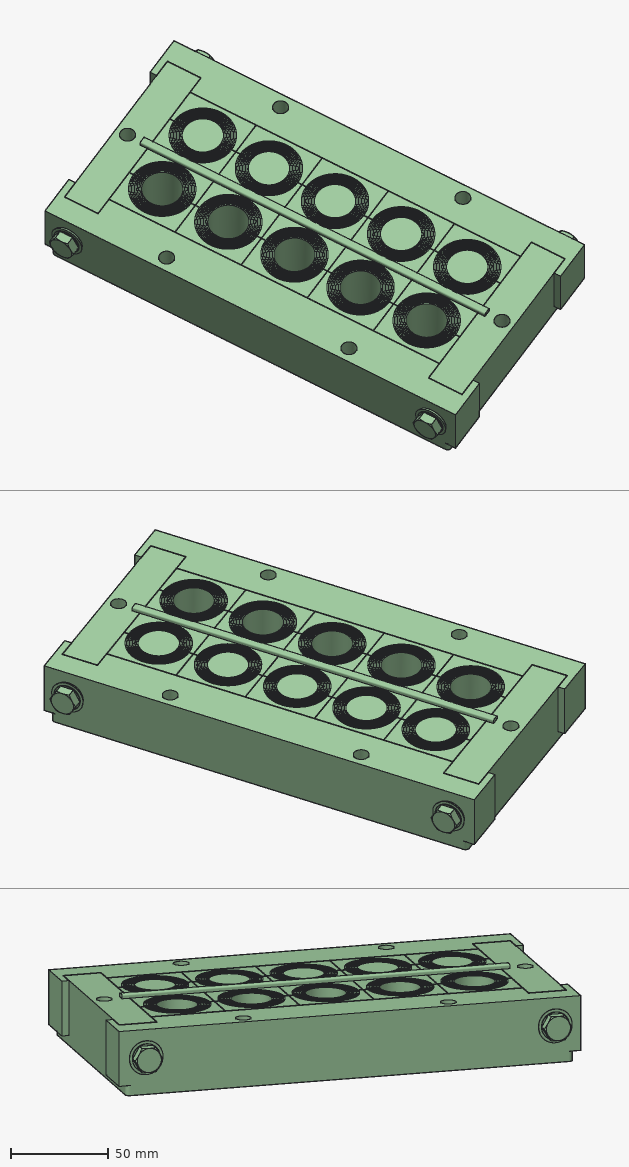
import cadquery as cq
import math

LENGTH = 248.0
WIDTH = 127.0
BLOCK_HEIGHT = 29.3
LIP_HEIGHT = 5.5
NOTCH_DEPTH = 4.0
LIP_CORNER_RADIUS = 2.2
TOP = LIP_HEIGHT + BLOCK_HEIGHT
INNER_LENGTH = LENGTH - 2 * NOTCH_DEPTH

MODULE_SIZE = 40.0
COLUMNS = 5
ROWS = 2
MODULES_LENGTH = COLUMNS * MODULE_SIZE
MODULES_WIDTH = ROWS * MODULE_SIZE
NOTCH_WIDTH = MODULES_WIDTH
BORE_RADIUS = 10.7
LAYER_THICKNESS = 0.7
RING_COUNT = 5
RING_DEPTH = 0.2

END_BAR_WIDTH = 101.2
JOINT_WIDTH = 0.12
JOINT_DEPTH = 0.2

STRIP_LENGTH = 208.3
STRIP_WIDTH = 4.5
STRIP_HEIGHT = 2.2
STRIP_ROUNDING = 1.0

HOLE_DIAMETER = 8.2
SIDE_HOLE_X = 55.0
SIDE_HOLE_Y = 56.0
END_HOLE_X = 113.0

BOLT_X = 109.9
BOLT_Z = LIP_HEIGHT + BLOCK_HEIGHT / 2
FLANGE_DIAMETER = 18.0
FLANGE_BASE_DIAMETER = 16.9
FLANGE_HEIGHT = 1.5
COLLAR_HEIGHT = 0.5
HEX_ACROSS_FLATS = 13.0
BOLT_HEAD_HEIGHT = 7.2
HEX_BEVEL_ANGLE = 30.0


def make_frame():
    lip = cq.Workplane("XY").box(INNER_LENGTH, WIDTH, LIP_HEIGHT, centered=(True, True, False))
    lip = lip.edges("|Z").fillet(LIP_CORNER_RADIUS)
    block = cq.Workplane("XY").workplane(offset=LIP_HEIGHT)
    block = block.box(LENGTH, WIDTH, BLOCK_HEIGHT, centered=(True, True, False))
    notches = (
        cq.Workplane("XY").workplane(offset=LIP_HEIGHT)
        .pushPoints([(-LENGTH / 2, 0), (LENGTH / 2, 0)])
        .rect(2 * NOTCH_DEPTH, NOTCH_WIDTH)
        .extrude(BLOCK_HEIGHT)
    )
    return lip.union(block.cut(notches))


def module_centers(row):
    y = (row - (ROWS - 1) / 2) * MODULE_SIZE
    return [((column - (COLUMNS - 1) / 2) * MODULE_SIZE, y) for column in range(COLUMNS)]


def joint(start, end):
    """Shallow straight groove in the top face, parallel to X or Y."""
    (x0, y0), (x1, y1) = start, end
    return (
        cq.Workplane("XY", origin=((x0 + x1) / 2, (y0 + y1) / 2, TOP - JOINT_DEPTH))
        .rect(abs(x1 - x0) + JOINT_WIDTH, abs(y1 - y0) + JOINT_WIDTH)
        .extrude(JOINT_DEPTH)
    )


def make_joints():
    half_length = MODULES_LENGTH / 2
    half_width = MODULES_WIDTH / 2
    half_inner = INNER_LENGTH / 2
    half_bar = END_BAR_WIDTH / 2
    lines = []
    for y in (-half_width, half_width):
        lines.append(((-half_length, y), (half_length, y)))
    for row in range(ROWS):
        for x, y in module_centers(row):
            for side in (-1, 1):
                lines.append(((x + side * BORE_RADIUS, y), (x + side * MODULE_SIZE / 2, y)))
    for column in range(1, COLUMNS):
        x = column * MODULE_SIZE - half_length
        lines.append(((x, -half_width), (x, half_width)))
    for side in (-1, 1):
        lines.append(((side * half_length, -half_bar), (side * half_length, half_bar)))
        for y in (-half_bar, half_bar):
            lines.append(((side * half_length, y), (side * half_inner, y)))
        for end in (-1, 1):
            lines.append(((side * half_inner, end * half_width), (side * half_inner, end * half_bar)))
    joints = joint(*lines[0])
    for line in lines[1:]:
        joints = joints.union(joint(*line))
    return joints


def make_ring_grooves():
    """Concentric grooves marking the peelable layers of every module."""
    centers = [center for row in range(ROWS) for center in module_centers(row)]
    grooves = cq.Workplane("XY")
    for ring in range(RING_COUNT):
        inner_radius = BORE_RADIUS + 2 * ring * LAYER_THICKNESS
        ring_groove = (
            cq.Workplane("XY").workplane(offset=TOP - RING_DEPTH)
            .pushPoints(centers)
            .circle(inner_radius + LAYER_THICKNESS)
            .circle(inner_radius)
            .extrude(RING_DEPTH)
        )
        grooves = grooves.add(ring_groove)
    return grooves.combine()


def make_bores():
    return cq.Workplane("XY").pushPoints(module_centers(0)).circle(BORE_RADIUS).extrude(TOP)


def make_mounting_holes():
    points = [(-END_HOLE_X, 0), (END_HOLE_X, 0)]
    points += [(x, y) for x in (-SIDE_HOLE_X, SIDE_HOLE_X) for y in (-SIDE_HOLE_Y, SIDE_HOLE_Y)]
    return cq.Workplane("XY").pushPoints(points).circle(HOLE_DIAMETER / 2).extrude(TOP)


def make_strip():
    strip = cq.Workplane("XY").workplane(offset=TOP)
    strip = strip.box(STRIP_LENGTH, STRIP_WIDTH, STRIP_HEIGHT, centered=(True, True, False))
    return strip.edges("|X and >Z").fillet(STRIP_ROUNDING)


def revolved_profile(points):
    """Solid of revolution about Z from (radius, height) points."""
    return cq.Workplane("XZ").polyline(points).close().revolve(360, (0, 0, 0), (0, 1, 0))


def make_bolt():
    """Bolt head on the XY plane, pointing up, with two hexagon corners on the X axis."""
    corner_radius = HEX_ACROSS_FLATS / math.sqrt(3)
    flange = revolved_profile([
        (0, 0),
        (FLANGE_BASE_DIAMETER / 2, 0),
        (FLANGE_DIAMETER / 2, FLANGE_HEIGHT),
        (corner_radius, FLANGE_HEIGHT),
        (corner_radius, FLANGE_HEIGHT + COLLAR_HEIGHT),
        (0, FLANGE_HEIGHT + COLLAR_HEIGHT),
    ])
    hexagon = cq.Workplane("XY").polygon(6, 2 * corner_radius).extrude(BOLT_HEAD_HEIGHT)
    top_radius = HEX_ACROSS_FLATS / 2
    bevel_drop = (corner_radius - top_radius) * math.tan(math.radians(HEX_BEVEL_ANGLE))
    envelope = revolved_profile([
        (0, 0),
        (corner_radius, 0),
        (corner_radius, BOLT_HEAD_HEIGHT - bevel_drop),
        (top_radius, BOLT_HEAD_HEIGHT),
        (0, BOLT_HEAD_HEIGHT),
    ])
    return flange.union(hexagon.intersect(envelope))


result = make_frame()
result = result.cut(make_joints())
result = result.cut(make_ring_grooves())
result = result.cut(make_bores())
result = result.cut(make_mounting_holes())
result = result.union(make_strip())

bolt = make_bolt()
for bolt_x in (-BOLT_X, BOLT_X):
    for side in (-1, 1):
        placed = bolt.rotate((0, 0, 0), (1, 0, 0), -side * 90)
        result = result.union(placed.translate((bolt_x, side * WIDTH / 2, BOLT_Z)))